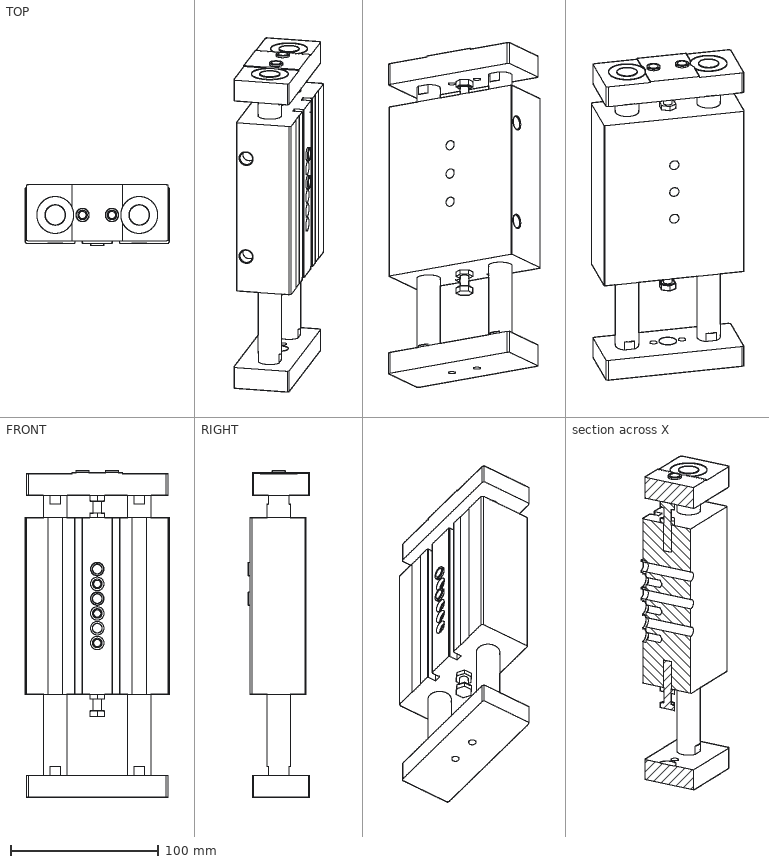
import cadquery as cq
import math


plate_thickness = 14.9
lower_gap = 55.0
housing_height = 120.0
upper_gap = 15.0
pad_height = 0.7
sleeve_projection = 1.3

housing_bottom = plate_thickness + lower_gap
housing_top = housing_bottom + housing_height
top_plate_bottom = housing_top + upper_gap
top_plate_face = top_plate_bottom + plate_thickness
pad_face = top_plate_face + pad_height
unit_top = pad_face + sleeve_projection

rod_diameter = 16.0
rod_spacing = 57.0
rod_xs = (-rod_spacing / 2, rod_spacing / 2)
flat_height = 6.0
flat_distance = 14.2

plate_width = 96.3
plate_front = -17.8
plate_back = 20.9
plate_bevel_x = 1.5
plate_bevel_y = 0.7
pad_width = 34.5
recess_diameter = 25.0
recess_depth = 0.5
rod_end_diameter = 14.0
rod_end_bevel = 0.2
plate_hole_spacing = 20.0
plate_hole_xs = (-plate_hole_spacing / 2, plate_hole_spacing / 2)
plate_hole_diameter = 4.9
seat_diameter = 12.0
seat_depth = 0.2

sleeve_diameter = 9.0
sleeve_bore = 6.5
sleeve_bevel = 0.2
sleeve_seat_depth = 2.7
sleeve_length = sleeve_seat_depth + sleeve_projection

housing_width = 98.0
housing_front = -19.5
housing_back = 18.6
front_bevel_x = 0.9
front_bevel_y = 1.3
back_bevel = 0.7
slot_spacing = 25.3
slot_width = 4.9
slot_depth = 6.7
slot_mouth_width = 5.5
slot_mouth_depth = 0.7
strip_width = 10.0
strip_depth = 0.2
mount_hole_span = 50.1
mount_hole_count = 6
through_hole_diameter = 6.5
thread_diameter = 4.9
thread_depth = 11.0
port_diameter = 8.7
port_mouth_diameter = 9.8
port_depth = 8.9
port_y = 11.8
port_end_distance = 25.0
drill_tip_angle = 118

screw_diameter = 6.0
hex_across_flats = 10.0
head_height = 3.8
washer_face_diameter = 9.0
washer_face_height = 0.5
nut_height = 3.0
screw_engagement = 20.0

highest_hole_z = (housing_bottom + housing_top + mount_hole_span) / 2
mount_hole_pitch = mount_hole_span / (mount_hole_count - 1)
mount_hole_zs = [highest_hole_z - i * mount_hole_pitch for i in range(mount_hole_count)]
through_hole_zs = mount_hole_zs[0::2]
threaded_hole_zs = mount_hole_zs[1::2]
sleeve_hole_zs = through_hole_zs[:2]


def cylinder(diameter, length, start, direction):
    """Solid cylinder from a start point along a direction."""
    return cq.Workplane(
        cq.Solid.makeCylinder(diameter / 2, length, cq.Vector(*start), cq.Vector(*direction))
    )


def cone(start_diameter, end_diameter, length, start, direction):
    """Solid cone from a start point along a direction."""
    return cq.Workplane(
        cq.Solid.makeCone(
            start_diameter / 2, end_diameter / 2, length, cq.Vector(*start), cq.Vector(*direction)
        )
    )


def y_box(width, front, back, bottom, height):
    """Box centred on x = 0 between a front and a back plane."""
    box = cq.Workplane("XY").box(width, back - front, height, centered=(True, False, False))
    return box.translate((0, front, bottom))


def bevelled_block(width, front, back, bottom, height, front_bevel, back_bevel):
    """Upright block with bevelled vertical corners; each bevel is given as (x leg, y leg)."""
    half = width / 2
    front_x, front_y = front_bevel
    back_x, back_y = back_bevel
    outline = [
        (-half + front_x, front),
        (half - front_x, front),
        (half, front + front_y),
        (half, back - back_y),
        (half - back_x, back),
        (-half + back_x, back),
        (-half, back - back_y),
        (-half, front + front_y),
    ]
    return cq.Workplane("XY").workplane(offset=bottom).polyline(outline).close().extrude(height)


def yoke_plate(bottom):
    """Yoke plate with all four corners bevelled."""
    bevel = (plate_bevel_x, plate_bevel_y)
    return bevelled_block(plate_width, plate_front, plate_back, bottom, plate_thickness, bevel, bevel)


def guide_rod(x):
    """Rod between the plates, with two wrench flats next to each plate."""
    length = top_plate_bottom - plate_thickness
    rod = cylinder(rod_diameter, length, (x, 0, plate_thickness), (0, 0, 1))
    for bottom in (plate_thickness, top_plate_bottom - flat_height):
        ring = cylinder(rod_diameter, flat_height, (x, 0, bottom), (0, 0, 1))
        between_flats = y_box(rod_diameter, -flat_distance / 2, flat_distance / 2, bottom, flat_height)
        rod = rod.cut(ring.cut(between_flats.translate((x, 0, 0))))
    return rod


def make_moving_unit():
    """Both yoke plates and both rods."""
    bottom_plate = yoke_plate(0)
    bottom_plate = bottom_plate.cut(
        cylinder(seat_diameter, seat_depth, (0, 0, plate_thickness), (0, 0, -1))
    )

    pad = y_box(pad_width, plate_front, plate_back, top_plate_face, pad_height)
    top_plate = yoke_plate(top_plate_bottom).union(pad)
    recess_floor = top_plate_face - recess_depth
    for x in rod_xs:
        recess = cylinder(recess_diameter, pad_face - recess_floor, (x, 0, recess_floor), (0, 0, 1))
        rod_end = cylinder(rod_end_diameter, recess_depth, (x, 0, recess_floor), (0, 0, 1))
        rod_end = rod_end.faces(">Z").chamfer(rod_end_bevel)
        top_plate = top_plate.cut(recess.cut(rod_end))
    for x in plate_hole_xs:
        seat = cylinder(sleeve_diameter, sleeve_seat_depth, (x, 0, pad_face), (0, 0, -1))
        top_plate = top_plate.cut(seat)

    unit = bottom_plate.union(top_plate)
    for x in rod_xs:
        unit = unit.union(guide_rod(x))
    for x in plate_hole_xs:
        unit = unit.cut(cylinder(plate_hole_diameter, unit_top, (x, 0, 0), (0, 0, 1)))
    return unit


def sensor_slot(x):
    """Full-height slot in the front face, stepped wider at its mouth."""
    groove = y_box(slot_width, housing_front, housing_front + slot_depth, housing_bottom, housing_height)
    mouth_back = housing_front + slot_mouth_depth
    mouth = y_box(slot_mouth_width, housing_front, mouth_back, housing_bottom, housing_height)
    return groove.union(mouth).translate((x, 0, 0))


def drill_tip_length(diameter):
    """Length of the cone that a drill leaves at the bottom of a blind hole."""
    return diameter / 2 / math.tan(math.radians(drill_tip_angle / 2))


def make_housing():
    """Housing block with rod bores, slots, mounting holes, air ports and screw holes."""
    housing = bevelled_block(
        housing_width,
        housing_front,
        housing_back,
        housing_bottom,
        housing_height,
        (front_bevel_x, front_bevel_y),
        (back_bevel, back_bevel),
    )

    for x in rod_xs:
        strip = y_box(strip_width, housing_front, housing_front + strip_depth, housing_bottom, housing_height)
        housing = housing.cut(strip.translate((x, 0, 0)))
        housing = housing.cut(cylinder(rod_diameter, housing_height, (x, 0, housing_bottom), (0, 0, 1)))

    for side in (-1, 1):
        housing = housing.cut(sensor_slot(side * slot_spacing / 2))

    seat_floor = housing_front + sleeve_seat_depth
    for z in mount_hole_zs:
        housing = housing.cut(cylinder(sleeve_diameter, sleeve_seat_depth, (0, housing_front, z), (0, 1, 0)))
    for z in through_hole_zs:
        depth = housing_back - housing_front
        housing = housing.cut(cylinder(through_hole_diameter, depth, (0, housing_front, z), (0, 1, 0)))
    for z in threaded_hole_zs:
        bevel = (through_hole_diameter - thread_diameter) / 2
        tip_y = seat_floor + thread_depth
        tip = drill_tip_length(thread_diameter)
        housing = housing.cut(cylinder(thread_diameter, thread_depth, (0, seat_floor, z), (0, 1, 0)))
        housing = housing.cut(
            cone(through_hole_diameter, thread_diameter, bevel, (0, seat_floor, z), (0, 1, 0))
        )
        housing = housing.cut(cone(thread_diameter, 0, tip, (0, tip_y, z), (0, 1, 0)))

    left = -housing_width / 2
    for z in (housing_bottom + port_end_distance, housing_top - port_end_distance):
        bevel = (port_mouth_diameter - port_diameter) / 2
        tip = drill_tip_length(port_diameter)
        housing = housing.cut(cylinder(port_diameter, port_depth, (left, port_y, z), (1, 0, 0)))
        housing = housing.cut(cone(port_mouth_diameter, port_diameter, bevel, (left, port_y, z), (1, 0, 0)))
        housing = housing.cut(cone(port_diameter, 0, tip, (left + port_depth, port_y, z), (1, 0, 0)))

    for z, inward in ((housing_bottom, 1), (housing_top, -1)):
        housing = housing.cut(cylinder(screw_diameter, screw_engagement, (0, 0, z), (0, 0, inward)))
    return housing


def hexagon(bottom, height):
    """Hexagonal prism with two of its flats facing -X and +X."""
    across_corners = hex_across_flats / math.cos(math.radians(30))
    prism = cq.Workplane("XY").polygon(6, across_corners).extrude(height)
    return prism.rotate((0, 0, 0), (0, 0, 1), 30).translate((0, 0, bottom))


def make_stop_screw(face_z, outward, reach):
    """Screw entering a housing end face; its hexagonal head ends at a reach outside that face."""
    start = face_z - outward * screw_engagement
    shank = cylinder(screw_diameter, screw_engagement + reach, (0, 0, start), (0, 0, outward))
    head_outer = face_z + outward * reach
    head_bottom = min(head_outer, head_outer - outward * head_height)
    head_inner = (0, 0, head_outer - outward * head_height)
    washer_face = cylinder(washer_face_diameter, washer_face_height, head_inner, (0, 0, -outward))
    return shank.union(washer_face).union(hexagon(head_bottom, head_height))


def make_lock_nut(face_z, outward):
    """Nut resting on a housing end face, around the screw."""
    bottom = min(face_z, face_z + outward * nut_height)
    bore = cylinder(screw_diameter, nut_height, (0, 0, bottom), (0, 0, 1))
    return hexagon(bottom, nut_height).cut(bore)


def make_sleeve(outer_end, direction):
    """Centering sleeve from its outer end, pointing into its seat."""
    body = cylinder(sleeve_diameter, sleeve_length, outer_end, direction)
    body = body.edges("%CIRCLE").chamfer(sleeve_bevel)
    return body.cut(cylinder(sleeve_bore, sleeve_length, outer_end, direction))


moving_unit = make_moving_unit()
housing = make_housing()

stop_screws = []
lock_nuts = []
for face_z, outward in ((housing_bottom, -1), (housing_top, 1)):
    stop_screws.append(make_stop_screw(face_z, outward, upper_gap).val())
    lock_nuts.append(make_lock_nut(face_z, outward).val())

sleeves = []
for x in plate_hole_xs:
    sleeves.append(make_sleeve((x, 0, unit_top), (0, 0, -1)).val())
for z in sleeve_hole_zs:
    sleeves.append(make_sleeve((0, housing_front - sleeve_projection, z), (0, 1, 0)).val())

result = cq.Compound.makeCompound(
    [moving_unit.val(), housing.val(), *stop_screws, *lock_nuts, *sleeves]
)